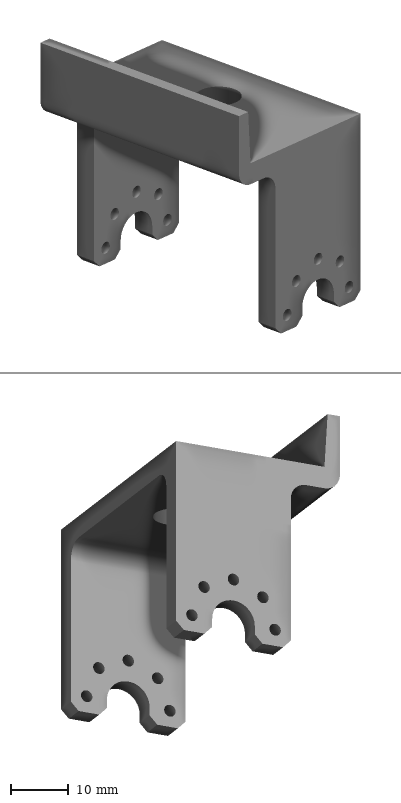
import cadquery as cq
import math

width = 46.5
depth = 31.5
height = 44.95

wall = 4.0
plate_top = 35.0
plate_bottom = plate_top - wall
leg_depth = 22.05
leg_front = depth - leg_depth
leg_center = depth - leg_depth / 2
bend_radius = 3.0

lip_base = 2.98
lip_tip = 2.35

plate_hole_diameter = 8.0
notch_radius = 4.1
foot_chamfer = 1.5
pivot_height = 3.0
pin_hole_diameter = 2.2
pin_circle_radius = 8.0
pin_hole_count = 5


def make_body():
    """Side profile of the plate, lip and legs, extruded across the width."""
    bend_offset = bend_radius * (1 - math.sqrt(0.5))
    return (
        cq.Workplane("YZ")
        .moveTo(depth, foot_chamfer)
        .lineTo(depth, plate_top)
        .lineTo(lip_base, plate_top)
        .lineTo(lip_tip, height)
        .lineTo(0, height)
        .lineTo(0, plate_bottom + bend_radius)
        .threePointArc((bend_offset, plate_bottom + bend_offset), (bend_radius, plate_bottom))
        .lineTo(leg_front - bend_radius, plate_bottom)
        .threePointArc(
            (leg_front - bend_offset, plate_bottom - bend_offset),
            (leg_front, plate_bottom - bend_radius),
        )
        .lineTo(leg_front, foot_chamfer)
        .lineTo(leg_front + foot_chamfer, 0)
        .lineTo(depth - foot_chamfer, 0)
        .close()
        .extrude(width / 2, both=True)
    )


def make_leg_gap():
    """Opening between the legs, rounded where they meet the plate."""
    return (
        cq.Workplane("XY")
        .box(width - 2 * wall, depth, plate_bottom, centered=(True, False, False))
        .edges("|Y and >Z")
        .fillet(bend_radius)
    )


def make_foot_notch():
    """Round-topped notch through both feet, with a chamfered mouth."""
    mouth = notch_radius + foot_chamfer
    return (
        cq.Workplane("YZ")
        .moveTo(leg_center - mouth, 0)
        .lineTo(leg_center - notch_radius, foot_chamfer)
        .lineTo(leg_center - notch_radius, pivot_height)
        .threePointArc(
            (leg_center, pivot_height + notch_radius),
            (leg_center + notch_radius, pivot_height),
        )
        .lineTo(leg_center + notch_radius, foot_chamfer)
        .lineTo(leg_center + mouth, 0)
        .close()
        .extrude(width / 2, both=True)
    )


def make_pin_holes():
    """Pin holes through both legs, evenly spaced on a half circle around the notch."""
    step = math.pi / (pin_hole_count - 1)
    angles = [i * step for i in range(pin_hole_count)]
    centers = [
        (
            leg_center + pin_circle_radius * math.cos(angle),
            pivot_height + pin_circle_radius * math.sin(angle),
        )
        for angle in angles
    ]
    return (
        cq.Workplane("YZ")
        .pushPoints(centers)
        .circle(pin_hole_diameter / 2)
        .extrude(width / 2, both=True)
    )


def make_plate_hole():
    """Vertical hole through the plate, centered over the legs."""
    return (
        cq.Workplane("XY", origin=(0, leg_center, plate_bottom))
        .circle(plate_hole_diameter / 2)
        .extrude(wall)
    )


result = (
    make_body()
    .cut(make_leg_gap())
    .cut(make_foot_notch())
    .cut(make_pin_holes())
    .cut(make_plate_hole())
)